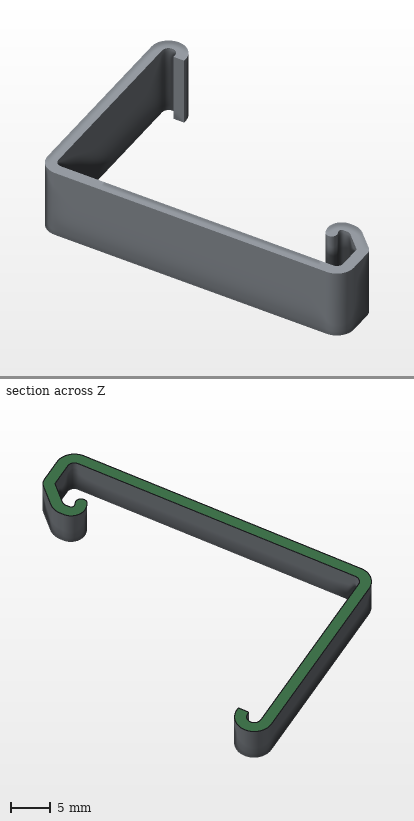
import cadquery as cq
import math

length = 45.0
depth = 31.0
height = 10.0

thickness = 1.58
outer_radius = 2.5
inner_radius = outer_radius - thickness

straight_hook_drop = 2.92

lip_depth = 10.0
lip_width = 7.0
curl_outer_radius = 2.02
curl_inner_radius = curl_outer_radius - thickness
curl_end_angle = 200
tail_length = 0.3
lip_center = (length - lip_width + outer_radius, lip_depth - outer_radius)
curl_center = (length - lip_width + curl_outer_radius, lip_depth - curl_outer_radius)


def polar(center, radius, angle):
    """Point at an angle in degrees on a circle."""
    a = math.radians(angle)
    return (center[0] + radius * math.cos(a), center[1] + radius * math.sin(a))


def bend(wire, center, radius, start, end):
    """Line to the start of a circular bend, then the bend itself."""
    return wire.lineTo(*polar(center, radius, start)).threePointArc(
        polar(center, radius, (start + end) / 2), polar(center, radius, end)
    )


left_corner = (outer_radius, outer_radius)
right_corner = (length - outer_radius, outer_radius)
top_hook = (outer_radius, depth - outer_radius)
slant_x = length - thickness
slant_corner = (
    slant_x,
    lip_center[1] + inner_radius * math.sqrt(2) - (slant_x - lip_center[0]),
)
hook_end_y = depth - straight_hook_drop

profile = cq.Workplane("XY").moveTo(2 * outer_radius, hook_end_y)
profile = bend(profile, top_hook, outer_radius, 0, 180)
profile = bend(profile, left_corner, outer_radius, 180, 270)
profile = bend(profile, right_corner, outer_radius, 270, 360)
profile = bend(profile, slant_corner, thickness, 0, 45)
profile = bend(profile, lip_center, outer_radius, 45, 90)
profile = bend(profile, curl_center, curl_outer_radius, 90, curl_end_angle)

curl_middle = polar(curl_center, curl_outer_radius - thickness / 2, curl_end_angle)
tip_center = polar(curl_middle, tail_length, curl_end_angle + 90)
profile = bend(profile, tip_center, thickness / 2, curl_end_angle, curl_end_angle + 180)

profile = bend(profile, curl_center, curl_inner_radius, curl_end_angle, 90)
profile = bend(profile, lip_center, inner_radius, 90, 45)
profile = profile.lineTo(*slant_corner)
profile = bend(profile, right_corner, inner_radius, 360, 270)
profile = bend(profile, left_corner, inner_radius, 270, 180)
profile = bend(profile, top_hook, inner_radius, 180, 0)
profile = profile.lineTo(outer_radius + inner_radius, hook_end_y).close()

result = profile.extrude(height)